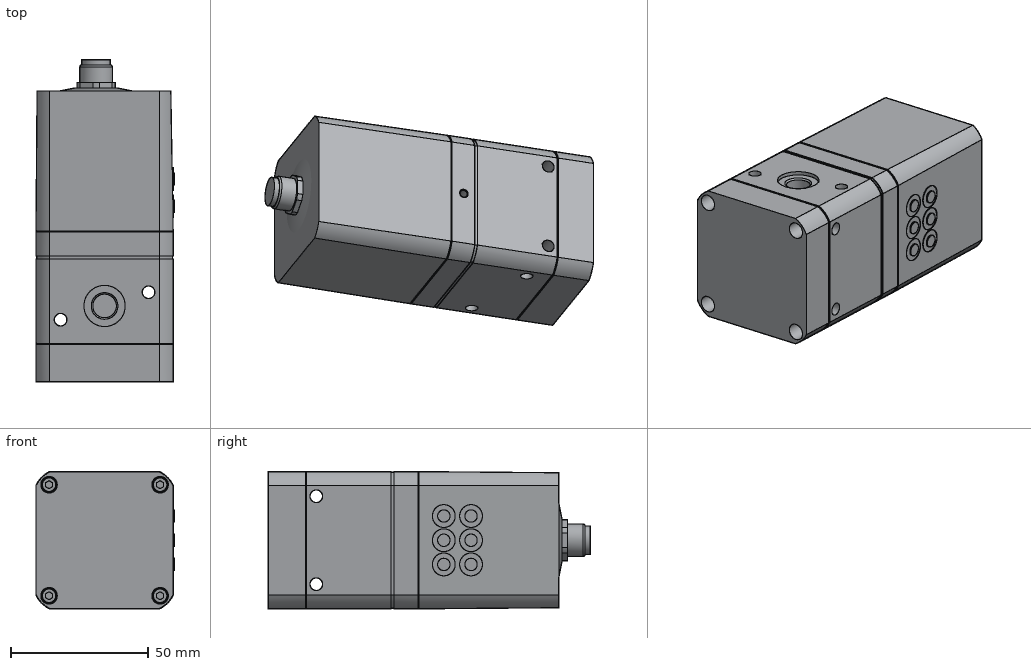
import cadquery as cq
import math

HALF_WIDTH = 25.0
FLAT_HALF = 20.0
CORNER_RADIUS = 11.0

COVER_JOINT = 13.8
BLOCK_JOINT = 45.25
RING_JOINT = 54.75
HOUSING_END = 105.8
OVERALL_LENGTH = 117.2

JOINT_DEPTH = 0.25
NARROW_JOINT = 0.4
WIDE_JOINT = 1.0

REAR_RIGHT = 24.15
REAR_HALF = 24.6

SCREW_OFFSET = 20.2
SCREW_BORE_DIAMETER = 6.0
SCREW_BORE_DEPTH = 12.0
HEAD_DIAMETER = 5.5
HEAD_HEIGHT = 3.0
HEAD_CHAMFER = 0.3
SOCKET_ACROSS_FLATS = 2.5
SOCKET_DEPTH = 1.5

PORT_Y = 27.6
PORT_SPOT_DIAMETER = 15.0
PORT_SPOT_DEPTH = 1.3
PORT_MOUTH_DIAMETER = 9.7
PORT_BORE_DIAMETER = 8.57
PORT_BORE_DEPTH = 12.0

MOUNT_DIAMETER = 4.5
MOUNT_OFFSET = 16.0
TOP_MOUNT_STAGGER = 5.0
SIDE_MOUNT_Y = 17.5

VENT_Y = 50.0
VENT_DIAMETER = 2.7
VENT_MOUTH_DIAMETER = 3.3
VENT_DEPTH = 5.0

PLUG_X = -3.1
COLLAR_BASE_RADIUS = 13.5
COLLAR_TOP_RADIUS = 7.9
NUT_START = 106.9
NUT_END = 108.9
NUT_ACROSS_FLATS = 14.0
NUT_ROUND_DIAMETER = 15.0
PLUG_DIAMETER = 12.0
PLUG_END = 114.6
PLUG_SHOULDER_DIAMETER = 11.2
TIP_START = 115.3
TIP_DIAMETER = 10.5

BUTTON_DIAMETER = 8.3
BUTTON_FACE_X = 25.0
BUTTON_CENTER_DIAMETER = 4.5
BUTTON_CENTER_X = 25.5
BUTTON_ROOT_X = 23.0
BUTTON_ROWS = (-8.8, 0.0, 8.8)
BUTTON_COLUMNS = (63.9, 73.8)


def cross_section(y, right=HALF_WIDTH, left=HALF_WIDTH, half_height=HALF_WIDTH):
    """Closed housing outline in the XZ plane at station y."""
    return (
        cq.Workplane("XZ", origin=(0, y, 0))
        .moveTo(-FLAT_HALF, half_height)
        .lineTo(FLAT_HALF, half_height)
        .radiusArc((right, FLAT_HALF), CORNER_RADIUS)
        .lineTo(right, -FLAT_HALF)
        .radiusArc((FLAT_HALF, -half_height), CORNER_RADIUS)
        .lineTo(-FLAT_HALF, -half_height)
        .radiusArc((-left, -FLAT_HALF), CORNER_RADIUS)
        .lineTo(-left, FLAT_HALF)
        .radiusArc((-FLAT_HALF, half_height), CORNER_RADIUS)
        .close()
    )


def joint_groove(y, width):
    """Band removed around the housing, centred on station y."""
    inner = HALF_WIDTH - JOINT_DEPTH
    size = 3 * HALF_WIDTH
    start = y - width / 2
    band = cq.Workplane("XZ", origin=(0, start, 0)).rect(size, size).extrude(-width)
    core = cross_section(start, inner, inner, inner).extrude(-width)
    return band.cut(core)


def rear_housing():
    """Tapered housing from the spacer ring to the rear face."""
    start = cross_section(RING_JOINT).wire().val()
    end = cross_section(HOUSING_END, REAR_RIGHT, REAR_HALF, REAR_HALF).wire().val()
    return cq.Workplane(cq.Solid.makeLoft([start, end], True))


def housing():
    body = cross_section(0).extrude(-RING_JOINT).union(rear_housing())
    joints = (
        (COVER_JOINT, NARROW_JOINT),
        (BLOCK_JOINT, WIDE_JOINT),
        (RING_JOINT, NARROW_JOINT),
    )
    for y, width in joints:
        body = body.cut(joint_groove(y, width))
    return body


def screw_recess(x, z):
    """Bore with the screw head left standing at its bottom."""
    bore = (
        cq.Workplane("XZ", origin=(x, 0, z))
        .circle(SCREW_BORE_DIAMETER / 2)
        .extrude(-SCREW_BORE_DEPTH)
    )
    head_top = SCREW_BORE_DEPTH - HEAD_HEIGHT
    head = (
        cq.Workplane("XZ", origin=(x, head_top, z))
        .circle(HEAD_DIAMETER / 2)
        .extrude(-HEAD_HEIGHT)
        .faces("<Y")
        .chamfer(HEAD_CHAMFER)
    )
    socket = (
        cq.Workplane("XZ", origin=(x, head_top, z))
        .transformed(rotate=(0, 0, 30))
        .polygon(6, SOCKET_ACROSS_FLATS / math.cos(math.pi / 6))
        .extrude(-SOCKET_DEPTH)
    )
    return bore.cut(head.cut(socket))


def chamfered_bore(mouth_radius, bore_radius, depth):
    """Bore with a 45 degree mouth chamfer, running down from the origin along -Z."""
    chamfer = mouth_radius - bore_radius
    return (
        cq.Workplane("XZ")
        .polyline([
            (0, 0),
            (mouth_radius, 0),
            (bore_radius, -chamfer),
            (bore_radius, -depth),
            (0, -depth),
        ])
        .close()
        .revolve(360, (0, 0, 0), (0, 1, 0))
    )


def port():
    floor_z = HALF_WIDTH - PORT_SPOT_DEPTH
    spot = (
        cq.Workplane("XY", origin=(0, PORT_Y, floor_z))
        .circle(PORT_SPOT_DIAMETER / 2)
        .extrude(PORT_SPOT_DEPTH)
    )
    bore = chamfered_bore(PORT_MOUTH_DIAMETER / 2, PORT_BORE_DIAMETER / 2, PORT_BORE_DEPTH)
    return spot.union(bore.translate((0, PORT_Y, floor_z)))


def vent():
    bore = chamfered_bore(VENT_MOUTH_DIAMETER / 2, VENT_DIAMETER / 2, VENT_DEPTH)
    sideways = bore.rotate((0, 0, 0), (0, 1, 0), -90)
    return sideways.translate((-HALF_WIDTH, VENT_Y, 0))


def mounting_holes():
    """Two staggered vertical holes and two horizontal holes, all right through."""
    vertical = (
        cq.Workplane("XY", origin=(0, PORT_Y, -HALF_WIDTH))
        .pushPoints([
            (-MOUNT_OFFSET, -TOP_MOUNT_STAGGER),
            (MOUNT_OFFSET, TOP_MOUNT_STAGGER),
        ])
        .circle(MOUNT_DIAMETER / 2)
        .extrude(2 * HALF_WIDTH)
    )
    horizontal = (
        cq.Workplane("YZ", origin=(-HALF_WIDTH, SIDE_MOUNT_Y, 0))
        .pushPoints([(0, -MOUNT_OFFSET), (0, MOUNT_OFFSET)])
        .circle(MOUNT_DIAMETER / 2)
        .extrude(2 * HALF_WIDTH)
    )
    return vertical.union(horizontal)


def connector():
    turned = (
        cq.Workplane("XY")
        .polyline([
            (0, HOUSING_END),
            (COLLAR_BASE_RADIUS, HOUSING_END),
            (COLLAR_TOP_RADIUS, NUT_START),
            (PLUG_DIAMETER / 2, NUT_START),
            (PLUG_DIAMETER / 2, PLUG_END),
            (PLUG_SHOULDER_DIAMETER / 2, TIP_START),
            (TIP_DIAMETER / 2, TIP_START),
            (TIP_DIAMETER / 2, OVERALL_LENGTH),
            (0, OVERALL_LENGTH),
        ])
        .close()
        .revolve(360, (0, 0, 0), (0, 1, 0))
    )
    nut_length = NUT_END - NUT_START
    nut_plane = cq.Workplane("XZ", origin=(0, NUT_START, 0))
    nut_round = nut_plane.circle(NUT_ROUND_DIAMETER / 2).extrude(-nut_length)
    nut = (
        nut_plane
        .transformed(rotate=(0, 0, 30))
        .polygon(6, NUT_ACROSS_FLATS / math.cos(math.pi / 6))
        .extrude(-nut_length)
        .intersect(nut_round)
    )
    return turned.union(nut).translate((PLUG_X, 0, 0))


def button(y, z):
    """Round button with a smaller raised centre, pointing along +X."""
    root = cq.Workplane("YZ", origin=(BUTTON_ROOT_X, y, z))
    rim = root.circle(BUTTON_DIAMETER / 2).extrude(BUTTON_FACE_X - BUTTON_ROOT_X)
    center = root.circle(BUTTON_CENTER_DIAMETER / 2).extrude(BUTTON_CENTER_X - BUTTON_ROOT_X)
    return rim.union(center)


def build_part():
    part = housing().union(connector())
    for y in BUTTON_COLUMNS:
        for z in BUTTON_ROWS:
            part = part.union(button(y, z))
    for x in (-SCREW_OFFSET, SCREW_OFFSET):
        for z in (-SCREW_OFFSET, SCREW_OFFSET):
            part = part.cut(screw_recess(x, z))
    return part.cut(port()).cut(vent()).cut(mounting_holes())


result = build_part()